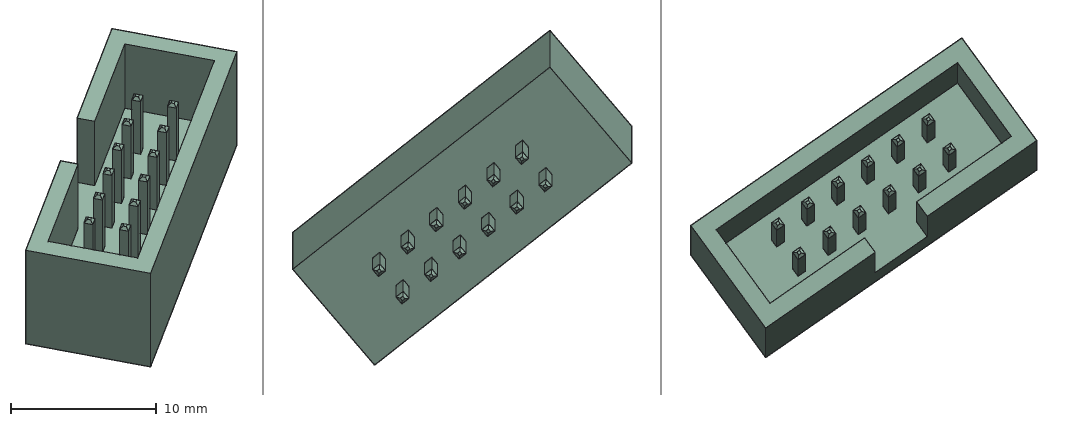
import cadquery as cq

body_width = 8.9
body_length = 22.85
body_height = 8.9
wall = 1.25
cavity_depth = 6.1

slot_width = 4.4

pin_rows = 6
pin_columns = 2
pin_pitch = 2.54
pin_side = 0.65
pin_taper = 0.2
pin_below_body = 3.02
pin_tip_below_rim = 0.9

pin_length = pin_below_body + body_height - pin_tip_below_rim
floor_z = body_height - cavity_depth


def make_shroud():
    """Box with its underside at Z = 0, hollowed from above and slotted on -X."""
    bottom_centered = (True, True, False)
    shroud = cq.Workplane("XY").box(body_width, body_length, body_height, centered=bottom_centered)
    cavity = (
        cq.Workplane("XY")
        .workplane(offset=floor_z)
        .box(body_width - 2 * wall, body_length - 2 * wall, cavity_depth, centered=bottom_centered)
    )
    slot = (
        cq.Workplane("XY")
        .workplane(offset=floor_z)
        .center(-body_width / 2 + wall / 2, 0)
        .box(wall, slot_width, cavity_depth, centered=bottom_centered)
    )
    return shroud.cut(cavity).cut(slot)


def make_pins():
    """Grid of pins passing through the shroud floor, tapered at both ends."""
    return (
        cq.Workplane("XY")
        .workplane(offset=-pin_below_body)
        .rarray(pin_pitch, pin_pitch, pin_columns, pin_rows)
        .rect(pin_side, pin_side)
        .extrude(pin_length)
        .faces("<Z or >Z")
        .edges()
        .chamfer(pin_taper)
    )


result = make_shroud().union(make_pins())